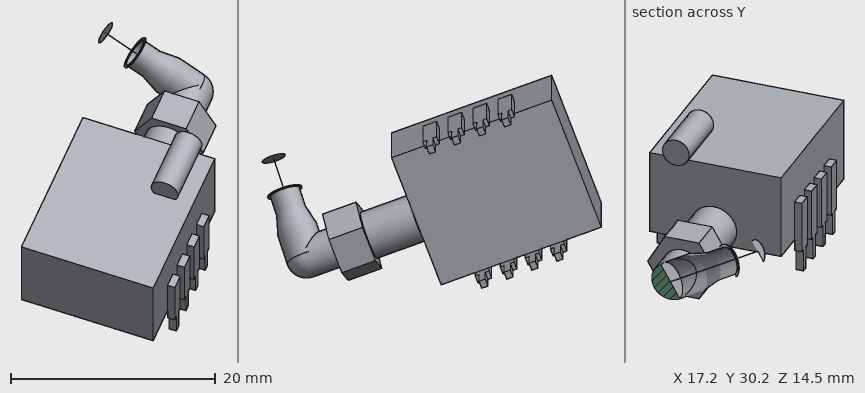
import cadquery as cq
import math

BODY_WIDTH = 13.8
BODY_DEPTH = 16.7
BODY_HEIGHT = 8.8

LEAD_COUNT = 4
LEAD_PITCH = 2.61
LEAD_FIRST_Y = -4.27
LEAD_THICKNESS = 0.77
LEAD_WIDTH = 1.44
LEAD_TOP_Z = 4.26
LEAD_SHOULDER_Z = -1.15
LEAD_TIP_WIDTH = 0.66
LEAD_TIP_Z = -3.5

BAR_DIAMETER = 2.8
BAR_LENGTH = 6.5
BAR_OVERHANG = 0.5
BAR_X = 3.96
BAR_TOP_Z = BODY_HEIGHT + 2.24

FITTING_X = 0.165
FITTING_Z = 1.735
NECK_DIAMETER = 4.8
NECK_LENGTH = 5.0
NUT_ACROSS_CORNERS = 7.2
NUT_LENGTH = 3.5
ELBOW_DIAMETER = 4.0
STEM_LENGTH = 3.0
ARM_RISE = 30.0

TAPER_START = 3.0
TAPER_END = 5.0
ARM_END = 7.03
TUBE_BORE = 2.93
ARM_WALL = 0.03
LIP_DIAMETER = 3.5
LIP_THICKNESS = 0.1

DISC_STATION = 10.54
DISC_DIAMETER = 2.36
DISC_THICKNESS = 0.02
WIRE_DIAMETER = 0.03
WIRE_ROOT_DEPTH = 1.0

ELBOW_Y = NECK_LENGTH + NUT_LENGTH + STEM_LENGTH


def make_body():
    block = cq.Workplane("XY").box(BODY_WIDTH, BODY_DEPTH, BODY_HEIGHT, centered=(True, False, False))
    return block.translate((0, -BODY_DEPTH, 0))


def lead_bar(side, y, width, bottom_z, top_z):
    x = side * (BODY_WIDTH + LEAD_THICKNESS) / 2
    height = top_z - bottom_z
    bar = cq.Workplane("XY").box(LEAD_THICKNESS, width, height, centered=(True, True, False))
    return bar.translate((x, y, bottom_z))


def make_lead(side, y):
    blade = lead_bar(side, y, LEAD_WIDTH, LEAD_SHOULDER_Z, LEAD_TOP_Z)
    tip = lead_bar(side, y, LEAD_TIP_WIDTH, LEAD_TIP_Z, LEAD_SHOULDER_Z)
    return blade.union(tip)


def rod_along_y(x, z, start_y, length, diameter):
    plane = cq.Plane(origin=(x, start_y, z), xDir=(1, 0, 0), normal=(0, 1, 0))
    return cq.Workplane(plane).circle(diameter / 2).extrude(length)


def make_nut():
    plane = cq.Plane(origin=(FITTING_X, NECK_LENGTH, FITTING_Z), xDir=(1, 0, 0), normal=(0, 1, 0))
    return cq.Workplane(plane).polygon(6, NUT_ACROSS_CORNERS).extrude(NUT_LENGTH)


def arm_plane(station):
    """Plane square to the elbow arm, at a distance from the elbow centre."""
    rise = math.radians(ARM_RISE)
    direction = cq.Vector(-math.cos(rise), 0, math.sin(rise))
    centre = cq.Vector(FITTING_X, ELBOW_Y, FITTING_Z)
    return cq.Plane(origin=centre + direction * station, xDir=(0, 1, 0), normal=direction)


def arm_disc(start, end, diameter):
    return cq.Workplane(arm_plane(start)).circle(diameter / 2).extrude(end - start)


def arm_profile(elbow_radius, tube_radius):
    """Body of revolution about the arm: straight, tapered, then straight to the mouth."""
    base = arm_plane(0)
    plane = cq.Plane(origin=base.origin, xDir=base.xDir, normal=base.xDir.cross(base.zDir))
    outline = (
        cq.Workplane(plane)
        .moveTo(0, 0)
        .lineTo(elbow_radius, 0)
        .lineTo(elbow_radius, TAPER_START)
        .lineTo(tube_radius, TAPER_END)
        .lineTo(tube_radius, ARM_END)
        .lineTo(0, ARM_END)
        .close()
    )
    return outline.revolve(360, (0, 0, 0), (0, 1, 0))


def make_elbow():
    elbow_radius = ELBOW_DIAMETER / 2
    tube_radius = TUBE_BORE / 2 + ARM_WALL
    stem = rod_along_y(FITTING_X, FITTING_Z, NECK_LENGTH + NUT_LENGTH, STEM_LENGTH, ELBOW_DIAMETER)
    corner = cq.Workplane("XY").sphere(elbow_radius).translate((FITTING_X, ELBOW_Y, FITTING_Z))
    arm = arm_profile(elbow_radius, tube_radius)
    lip = arm_disc(ARM_END - LIP_THICKNESS, ARM_END, LIP_DIAMETER)
    cavity = arm_profile(elbow_radius - ARM_WALL, tube_radius - ARM_WALL)
    return stem.union(corner).union(arm).union(lip).cut(cavity)


def make_disc_on_wire():
    disc = arm_disc(DISC_STATION, DISC_STATION + DISC_THICKNESS, DISC_DIAMETER)
    wire = arm_disc(-WIRE_ROOT_DEPTH, DISC_STATION + DISC_THICKNESS / 2, WIRE_DIAMETER)
    return disc.union(wire)


def make_bar():
    start_y = BAR_OVERHANG - BAR_LENGTH
    centre_z = BAR_TOP_Z - BAR_DIAMETER / 2
    return rod_along_y(BAR_X, centre_z, start_y, BAR_LENGTH, BAR_DIAMETER)


def make_neck():
    return rod_along_y(FITTING_X, FITTING_Z, 0, NECK_LENGTH, NECK_DIAMETER)


result = make_body()
for lead_index in range(LEAD_COUNT):
    lead_y = LEAD_FIRST_Y - lead_index * LEAD_PITCH
    for lead_side in (-1, 1):
        result = result.union(make_lead(lead_side, lead_y))
for feature in (make_bar(), make_neck(), make_nut(), make_elbow(), make_disc_on_wire()):
    result = result.union(feature)